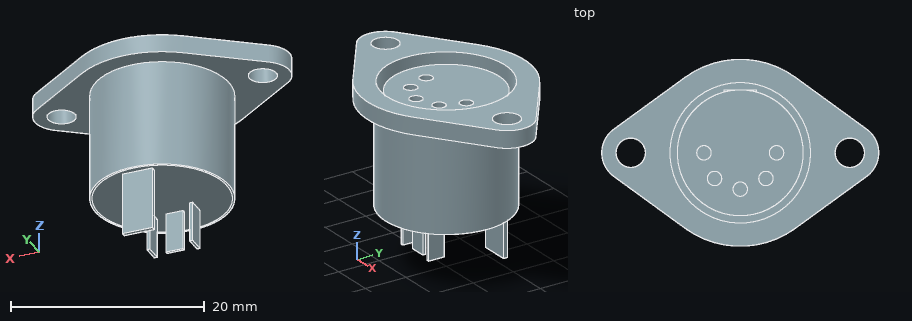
import cadquery as cq
import math

flange_length = 28.6
flange_width = 19.3
flange_thickness = 2.0
ear_radius = 3.0
ear_hole_diameter = 3.0

sleeve_height = 12.02
sleeve_diameter = 15.0
bore_diameter = 14.5

base_thickness = 1.0
core_diameter = 13.0
core_top_depth = 1.05
contact_diameter = 1.5
contact_circle_radius = 3.75
contact_hole_depth = 6.0
contact_count = 5
contact_step = 45.0

tab_length = 4.45
tab_width = 1.95
tab_thickness = 0.35
side_tab_x = 2.4
side_tab_y = -2.92
center_tab_y = -3.38

ground_tab_length = 6.98
ground_tab_width = 3.38
ground_tab_thickness = 0.51
ground_tab_rise = 2.0

flange_bottom = sleeve_height
flange_top = flange_bottom + flange_thickness
core_top = flange_top - core_top_depth


def make_flange():
    middle_radius = flange_width / 2
    end_x = flange_length / 2
    ear_x = end_x - ear_radius
    normal_x = (middle_radius - ear_radius) / ear_x
    normal_y = math.sqrt(1 - normal_x**2)
    middle_x = middle_radius * normal_x
    middle_y = middle_radius * normal_y
    ear_end_x = ear_x + ear_radius * normal_x
    ear_end_y = ear_radius * normal_y
    return (
        cq.Workplane("XY", origin=(0, 0, flange_bottom))
        .moveTo(-middle_x, middle_y)
        .threePointArc((0, middle_radius), (middle_x, middle_y))
        .lineTo(ear_end_x, ear_end_y)
        .threePointArc((end_x, 0), (ear_end_x, -ear_end_y))
        .lineTo(middle_x, -middle_y)
        .threePointArc((0, -middle_radius), (-middle_x, -middle_y))
        .lineTo(-ear_end_x, -ear_end_y)
        .threePointArc((-end_x, 0), (-ear_end_x, ear_end_y))
        .close()
        .extrude(flange_thickness)
        .faces(">Z").workplane(origin=(0, 0, flange_top))
        .pushPoints([(-ear_x, 0), (ear_x, 0)])
        .hole(ear_hole_diameter)
    )


def make_shell():
    sleeve = cq.Workplane("XY").circle(sleeve_diameter / 2).extrude(sleeve_height)
    bore = cq.Workplane("XY").circle(bore_diameter / 2).extrude(flange_top)
    return make_flange().union(sleeve).cut(bore)


def make_tab(x, y, size_x, size_y, bottom, top):
    return (
        cq.Workplane("XY", origin=(x, y, bottom))
        .rect(size_x, size_y)
        .extrude(top - bottom)
    )


def make_contact_holes():
    return (
        cq.Workplane("XY", origin=(0, 0, core_top))
        .polarArray(contact_circle_radius, 180, contact_step, contact_count, fill=False)
        .circle(contact_diameter / 2)
        .extrude(-contact_hole_depth)
    )


def make_insert():
    base = cq.Workplane("XY").circle(bore_diameter / 2).extrude(base_thickness)
    core = cq.Workplane("XY").circle(core_diameter / 2).extrude(core_top)
    insert = base.union(core).cut(make_contact_holes())

    for x in (-side_tab_x, side_tab_x):
        side_tab = make_tab(x, side_tab_y, tab_thickness, tab_width, -tab_length, base_thickness)
        insert = insert.union(side_tab)
    center_tab = make_tab(0, center_tab_y, tab_width, tab_thickness, -tab_length, base_thickness)
    insert = insert.union(center_tab)

    ground_tab_y = (core_diameter - ground_tab_thickness) / 2
    ground_tab = make_tab(
        0, ground_tab_y, ground_tab_width, ground_tab_thickness, -ground_tab_length, ground_tab_rise
    )
    return insert.union(ground_tab)


shell = make_shell()
insert = make_insert()

result = cq.Compound.makeCompound([shell.val(), insert.val()])